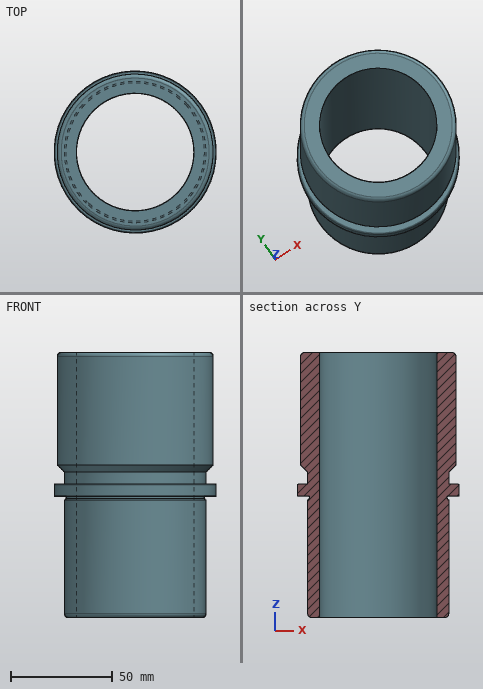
import cadquery as cq

total_height = 131.0
bore_radius = 29.0
shank_radius = 35.0
head_radius = 38.5
rim_round = 2.0

collar_diameter = 80.0
collar_radius = collar_diameter / 2
collar_bottom = 59.9
collar_height = 6.2
collar_round = 0.5
collar_top = collar_bottom + collar_height

groove_depth = 0.8
groove_height = 1.8
groove_radius = shank_radius - groove_depth
groove_bottom = collar_bottom - groove_height
bevel_top = groove_bottom + groove_depth

taper_bottom = 71.9
head_bottom = taper_bottom + head_radius - shank_radius


def cylinder(radius, bottom, top):
    """Solid cylinder on the Z axis between two heights."""
    return cq.Workplane("XY").workplane(offset=bottom).circle(radius).extrude(top - bottom)


shank = cylinder(shank_radius, 0, bevel_top)
shank = shank.faces("<Z").edges().fillet(rim_round)
shank = shank.faces(">Z").edges().chamfer(groove_depth)

groove_floor = cylinder(groove_radius, groove_bottom, collar_bottom)
neck = cylinder(shank_radius, collar_bottom, taper_bottom)

collar = cylinder(collar_radius, collar_bottom, collar_top)
collar = collar.edges("%CIRCLE").fillet(collar_round)

head = cylinder(head_radius, taper_bottom, total_height)
head = head.faces("<Z").edges().chamfer(head_bottom - taper_bottom)
head = head.faces(">Z").edges().fillet(rim_round)

bore = cylinder(bore_radius, 0, total_height)

result = shank.union(groove_floor).union(neck).union(collar).union(head).cut(bore)